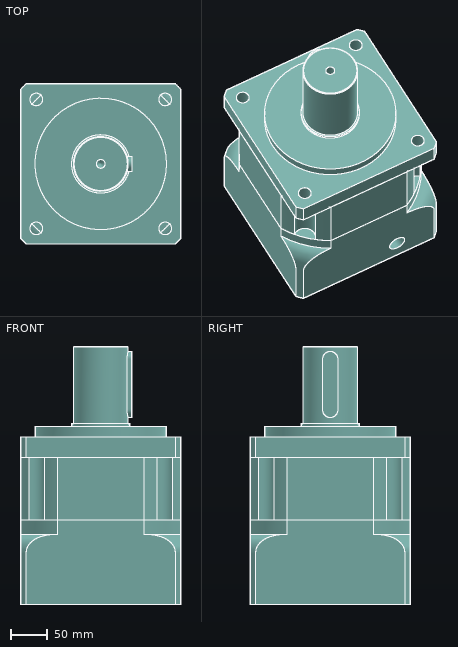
import cadquery as cq
import math

frame_width = 220.0
corner_radius = 150.0
waist_radius = 125.0

adapter_top = 115.8
flange_bottom = 201.5
flange_top = 229.7
pilot_top = 244.3
collar_top = 247.8
shaft_top = 354.0

shoulder_top = 96.3
shoulder_radius = corner_radius - waist_radius
access_diameter = 23.5
access_y = -44.2
access_z = 30.0
hub_diameter = 110.0

bolt_diameter = 17.5
bolt_spacing = math.sqrt(2) * waist_radius
groove_diameter = 29.7

pilot_diameter = 180.2
collar_diameter = 80.0
shaft_diameter = 75.0
shaft_chamfer = 1.0
center_hole_diameter = 12.0
center_hole_depth = 28.3
drill_point_angle = 118.0

key_width = 21.0
key_bottom = 256.3
key_top = 347.0
key_inner_x = 28.3
key_outer_x = 43.0


def disc(diameter, bottom, top):
    """Cylinder around the shaft axis."""
    return cq.Workplane().workplane(offset=bottom).circle(diameter / 2).extrude(top - bottom)


def square_block(bottom, top):
    """Block with the square outline of the frame."""
    return cq.Workplane().workplane(offset=bottom).rect(frame_width, frame_width).extrude(top - bottom)


def turned_block(radius, bottom, top):
    """Square block with its four corners turned to a radius."""
    return square_block(bottom, top).intersect(disc(2 * radius, bottom, top))


def bolt_cylinders(diameter, bottom, top):
    """Four upright cylinders at the bolt positions."""
    return (
        cq.Workplane()
        .workplane(offset=bottom)
        .rect(bolt_spacing, bolt_spacing, forConstruction=True)
        .vertices()
        .circle(diameter / 2)
        .extrude(top - bottom)
    )


def make_access_hole():
    """Hole from the -X face to the middle plane, opening onto the hub."""
    return (
        cq.Workplane("YZ", origin=(-frame_width / 2, access_y, access_z))
        .circle(access_diameter / 2)
        .extrude(frame_width / 2)
    )


def make_adapter():
    """Square foot with rounded-over corners, a bore for the hub and an access hole to it."""
    turned = (
        cq.Workplane("XZ")
        .lineTo(corner_radius, 0)
        .lineTo(corner_radius, shoulder_top - shoulder_radius)
        .radiusArc((waist_radius, shoulder_top), -shoulder_radius)
        .lineTo(waist_radius, adapter_top)
        .lineTo(0, adapter_top)
        .close()
        .revolve(360, (0, 0), (0, 1))
    )
    foot = square_block(0, adapter_top).intersect(turned)
    return foot.cut(make_access_hole()).cut(disc(hub_diameter, 0, adapter_top))


def make_gear_case():
    """Middle section with a clearance groove down each corner and a hub filling the adapter's bore."""
    case = turned_block(waist_radius, adapter_top, flange_bottom)
    case = case.cut(bolt_cylinders(groove_diameter, adapter_top, flange_bottom))
    return case.union(disc(hub_diameter, 0, adapter_top))


def make_key():
    """Key standing along the shaft, reaching into it."""
    return (
        cq.Workplane("YZ", origin=(key_inner_x, 0, (key_bottom + key_top) / 2))
        .slot2D(key_top - key_bottom, key_width, 90)
        .extrude(key_outer_x - key_inner_x)
    )


def make_center_hole():
    """Drilled hole in the shaft end with a conical bottom."""
    radius = center_hole_diameter / 2
    bottom = shaft_top - center_hole_depth
    tip = bottom - radius / math.tan(math.radians(drill_point_angle / 2))
    return (
        cq.Workplane("XZ")
        .moveTo(0, shaft_top)
        .lineTo(radius, shaft_top)
        .lineTo(radius, bottom)
        .lineTo(0, tip)
        .close()
        .revolve(360, (0, 0), (0, 1))
    )


def make_output():
    """Mounting flange with its pilot, collar, keyed shaft and bolt holes."""
    flange = turned_block(corner_radius, flange_bottom, flange_top)
    flange = flange.cut(bolt_cylinders(bolt_diameter, flange_bottom, flange_top))
    pilot = disc(pilot_diameter, flange_top, pilot_top)
    collar = disc(collar_diameter, pilot_top, collar_top)
    shaft = disc(shaft_diameter, pilot_top, shaft_top).faces(">Z").chamfer(shaft_chamfer)
    shaft = shaft.union(make_key()).cut(make_center_hole())
    return flange.union(pilot).union(collar).union(shaft)


adapter = make_adapter()
gear_case = make_gear_case()
output = make_output()

result = cq.Compound.makeCompound([adapter.val(), gear_case.val(), output.val()])